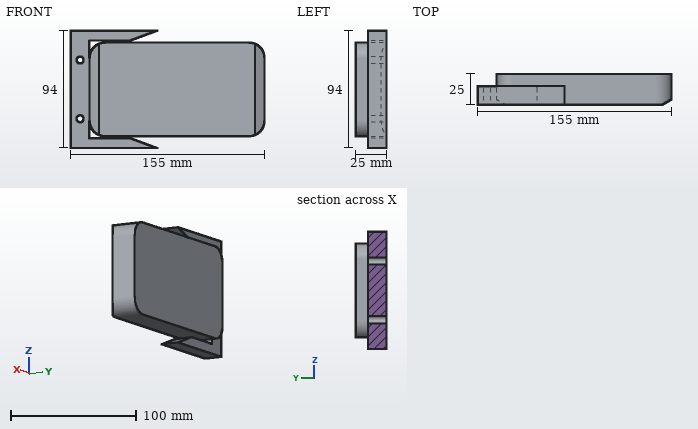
import cadquery as cq
import math

total_length = 155.0
total_height = 94.0

bracket_depth = 15.0
web_width = 15.0
arm_thickness = 8.0
arm_tip_x = 69.3
arm_taper_start_x = 47.5
hole_diameter = 5.5
hole_spacing = 47.0

block_depth = 25.0
block_height = 75.0
block_length = total_length - web_width
corner_radius = 12.4
bevel_width = 7.6
bevel_angle = 30.0
bevel_depth = bevel_width * math.tan(math.radians(bevel_angle))


def make_bracket():
    """C-shaped bracket, symmetric about Z = 0, with two through holes in the web."""
    outer_z = total_height / 2
    inner_z = outer_z - arm_thickness
    outline = [
        (0, -outer_z),
        (arm_tip_x, -outer_z),
        (arm_taper_start_x, -inner_z),
        (web_width, -inner_z),
        (web_width, inner_z),
        (arm_taper_start_x, inner_z),
        (arm_tip_x, outer_z),
        (0, outer_z),
    ]
    body = cq.Workplane("XZ").polyline(outline).close().extrude(-bracket_depth)
    hole_centers = [(web_width / 2, side * hole_spacing / 2) for side in (-1, 1)]
    holes = (
        cq.Workplane("XZ")
        .pushPoints(hole_centers)
        .circle(hole_diameter / 2)
        .extrude(-bracket_depth)
    )
    return body.cut(holes)


def make_block():
    """Slab with rounded corners and a sloped bevel across the front edge of each end."""
    rounded_slab = (
        cq.Workplane("XZ")
        .center(web_width + block_length / 2, 0)
        .rect(block_length, block_height)
        .extrude(-block_depth)
        .edges("|Y")
        .fillet(corner_radius)
    )
    plan_outline = [
        (web_width + bevel_width, 0),
        (total_length - bevel_width, 0),
        (total_length, bevel_depth),
        (total_length, block_depth),
        (web_width, block_depth),
        (web_width, bevel_depth),
    ]
    beveled_bar = (
        cq.Workplane("XY")
        .polyline(plan_outline)
        .close()
        .extrude(block_height / 2, both=True)
    )
    return rounded_slab.intersect(beveled_bar)


bracket = make_bracket()
block = make_block()

result = cq.Compound.makeCompound([bracket.solids().val(), block.solids().val()])